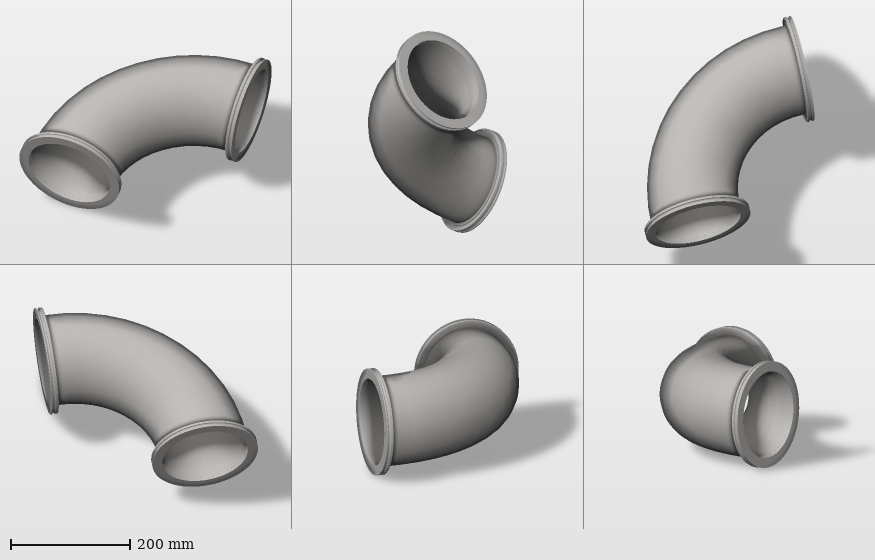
import cadquery as cq
import math

overall_size = 325.2
flange_diameter = 180.0
flange_radius = flange_diameter / 2
leg_reach = overall_size - flange_radius

tube_outer_diameter = 152.5
tube_inner_diameter = 146.0
bend_start = 16.3
bend_radius = leg_reach - bend_start

flange_thickness = 12.0
bore_diameter = 146.5
socket_diameter = 153.0
socket_floor = 6.8
rim_groove_radius = 2.5
rim_groove_position = 5.0
rim_chamfer = 1.0
clamp_groove_inner_diameter = 163.0
clamp_groove_outer_diameter = 175.0
clamp_groove_depth = 1.5

straight_length = bend_start - socket_floor


def make_elbow():
    """Hollow tube: straight leg, quarter bend, straight leg."""
    start = (flange_radius, socket_floor)
    bend_centre = (flange_radius + bend_radius, bend_start)
    bend_middle = (
        bend_centre[0] - bend_radius * math.cos(math.pi / 4),
        bend_centre[1] + bend_radius * math.sin(math.pi / 4),
    )
    path = (
        cq.Workplane("XY")
        .moveTo(*start)
        .lineTo(flange_radius, bend_start)
        .threePointArc(bend_middle, (bend_centre[0], leg_reach))
        .lineTo(bend_centre[0] + straight_length, leg_reach)
    )
    section = cq.Workplane("XZ", origin=(*start, 0))
    return section.circle(tube_outer_diameter / 2).circle(tube_inner_diameter / 2).sweep(path)


def make_flange():
    """Flange about the Z axis, with its end face at Z = 0 and its back toward +Z."""
    flange = (
        cq.Workplane("XY")
        .circle(flange_radius)
        .extrude(flange_thickness)
        .faces(">Z")
        .edges()
        .chamfer(rim_chamfer)
    )
    bore = cq.Workplane("XY").circle(bore_diameter / 2).extrude(flange_thickness)
    socket = (
        cq.Workplane("XY", origin=(0, 0, socket_floor))
        .circle(socket_diameter / 2)
        .extrude(flange_thickness - socket_floor)
    )
    rim_groove = cq.Workplane(
        cq.Solid.makeTorus(flange_radius, rim_groove_radius, cq.Vector(0, 0, rim_groove_position))
    )
    clamp_groove = (
        cq.Workplane("XY", origin=(0, 0, flange_thickness - clamp_groove_depth))
        .circle(clamp_groove_outer_diameter / 2)
        .circle(clamp_groove_inner_diameter / 2)
        .extrude(clamp_groove_depth)
    )
    return flange.cut(bore).cut(socket).cut(rim_groove).cut(clamp_groove)


flange_places = [
    ((flange_radius, 0, 0), (0, 1, 0)),
    ((overall_size, leg_reach, 0), (-1, 0, 0)),
]

elbow = make_elbow()
flanges = []
for face_centre, inward in flange_places:
    end_plane = cq.Plane(origin=face_centre, xDir=(0, 0, 1), normal=inward)
    flanges.append(make_flange().val().moved(cq.Location(end_plane)))

result = cq.Compound.makeCompound([elbow.val(), *flanges])